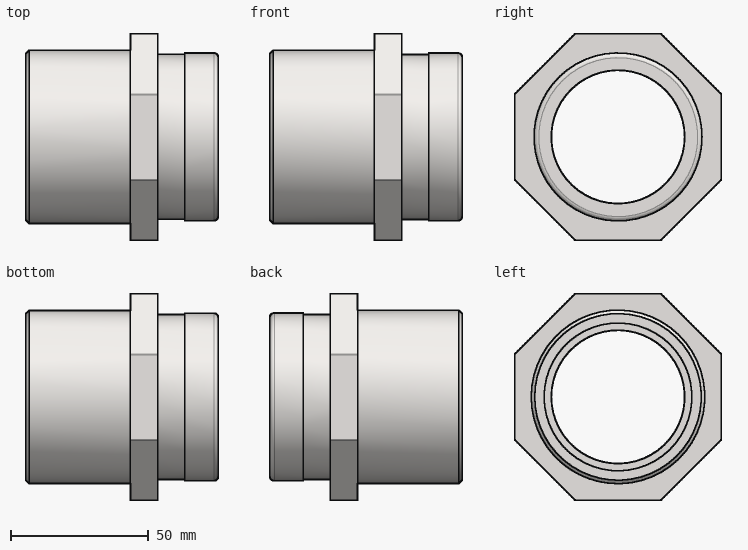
import cadquery as cq
import math

total_length = 69.9
spigot_length = 38.0
flange_thickness = 10.0
neck_length = 9.7
collar_length = total_length - spigot_length - flange_thickness - neck_length

flange_across_flats = 75.0
flange_sides = 8
spigot_diameter = 63.0
neck_diameter = 60.0
collar_diameter = 61.0

bore_diameter = 48.3
socket_diameter = 53.6
socket_depth = spigot_length

spigot_chamfer = 1.3
collar_round = 1.65
flange_corner_round = 0.4

spigot_start = -spigot_length
neck_start = flange_thickness
collar_start = neck_start + neck_length


def cylinder(diameter, start, length):
    """Round bar along +X, beginning at the given station."""
    return cq.Workplane("YZ", origin=(start, 0, 0)).circle(diameter / 2).extrude(length)


def octagonal_flange():
    """Wrench flange with flats facing Y and Z and slightly rounded corners."""
    across_corners = flange_across_flats / math.cos(math.pi / flange_sides)
    half_pitch = 180 / flange_sides
    prism = cq.Workplane("YZ").polygon(flange_sides, across_corners).extrude(flange_thickness)
    prism = prism.edges("|X").fillet(flange_corner_round)
    return prism.rotate((0, 0, 0), (1, 0, 0), half_pitch)


spigot = cylinder(spigot_diameter, spigot_start, spigot_length).faces("<X").chamfer(spigot_chamfer)
neck = cylinder(neck_diameter, neck_start, neck_length)
collar = cylinder(collar_diameter, collar_start, collar_length).faces(">X").edges().fillet(collar_round)
body = octagonal_flange().union(spigot).union(neck).union(collar)

bore = cylinder(bore_diameter, spigot_start, total_length)
socket = cylinder(socket_diameter, spigot_start, socket_depth)
result = body.cut(bore).cut(socket)